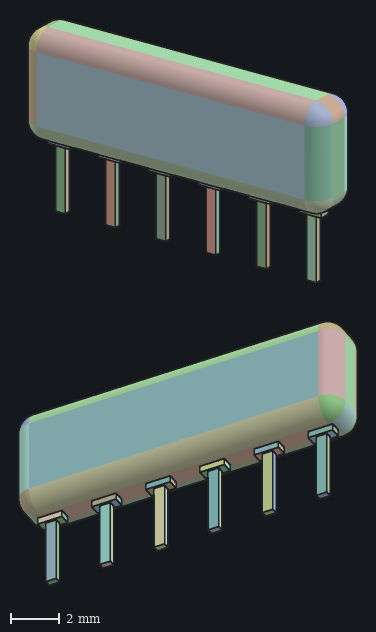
import cadquery as cq

body_length = 15.24
body_thickness = 2.5
body_height = 5.0
body_radius = 0.84

pin_count = 6
pin_pitch = body_length / pin_count
pin_width = 0.5
pin_thickness = 0.3
shoulder_width = 1.15
shoulder_thickness = 0.5
shoulder_height = 0.3
overall_height = 8.3
pin_reach = overall_height - body_height
embed_depth = 0.45


def hanging_bar(x, width, thickness, reach):
    """Rectangular bar from inside the body down to `reach` below its underside."""
    bar = cq.Workplane("XY").box(width, thickness, reach + embed_depth, centered=(True, True, False))
    return bar.translate((x, 0, -reach))


result = (
    cq.Workplane("XY")
    .box(body_length, body_thickness, body_height, centered=(True, True, False))
    .edges()
    .fillet(body_radius)
)

for index in range(pin_count):
    pin_x = (index - (pin_count - 1) / 2) * pin_pitch
    result = result.union(hanging_bar(pin_x, shoulder_width, shoulder_thickness, shoulder_height))
    result = result.union(hanging_bar(pin_x, pin_width, pin_thickness, pin_reach))